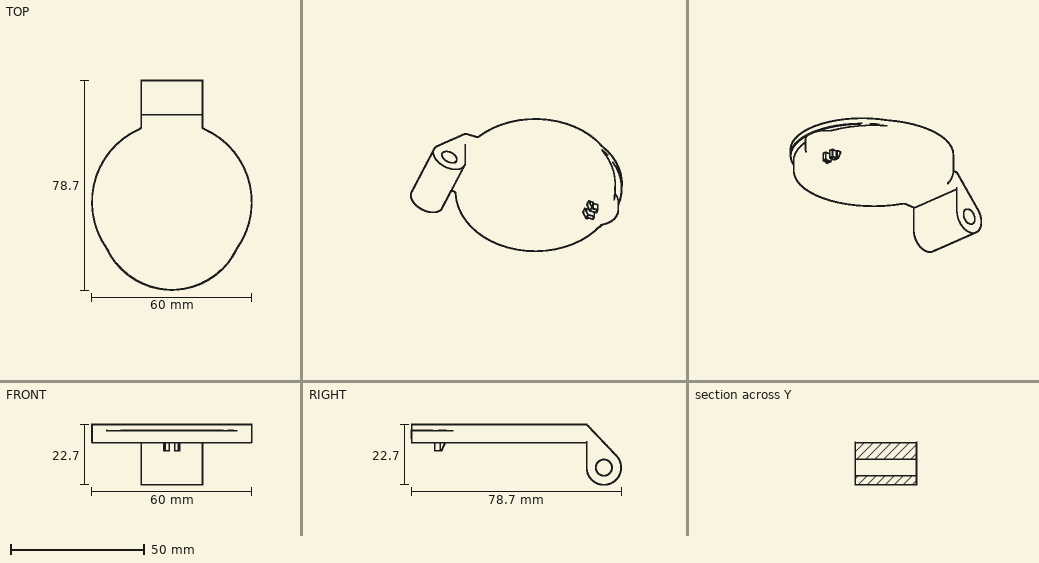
import cadquery as cq
import math


lid_radius = 30.0
lid_thickness = 7.0
bottom_edge_radius = 0.5
inside_corner_radius = 0.75

lip_radius = 27.0
lip_front_y = -33.0
lip_thickness = 2.4
lip_edge_radius = 0.2
lip_centre_y = lip_front_y + lip_radius

bulge_radius = 7.5
bulge_height = lid_thickness - lip_thickness
bulge_centre_y = lip_front_y + bulge_radius

hinge_width = 23.0
barrel_radius = 6.5
pin_hole_diameter = 6.0
barrel_drop = 16.24
arm_end_y = 32.69
barrel_y = arm_end_y + barrel_radius
barrel_z = lid_thickness - barrel_drop

prong_inner_x = 1.0
prong_width = 1.5
prong_height = 3.0
prong_front_y = -24.3
prong_depth = 2.1
prong_edge_break = 0.1
wedge_width = 2.0
wedge_depth_at_tip = 0.5
wedge_depth_at_root = 1.8


def disc(radius, centre_y, bottom_z, height):
    return cq.Workplane("XY", origin=(0, centre_y, bottom_z)).circle(radius).extrude(height)


def make_lid():
    """Round plate with the bulge and hinge tab, rounded inside corners and a rounded bottom edge."""
    plate = disc(lid_radius, 0, 0, lid_thickness)
    tab = cq.Workplane("XY").box(
        hinge_width, arm_end_y, lid_thickness, centered=(True, False, False)
    )
    bulge = disc(bulge_radius, bulge_centre_y, 0, bulge_height)
    lid = plate.union(tab).union(bulge)

    tab_corner_y = math.sqrt(lid_radius**2 - (hinge_width / 2) ** 2)
    bulge_corner_y = (lid_radius**2 - bulge_radius**2 + bulge_centre_y**2) / (2 * bulge_centre_y)
    bulge_corner_x = math.sqrt(lid_radius**2 - bulge_corner_y**2)
    mid_z = bulge_height / 2
    for corner in [(hinge_width / 2, tab_corner_y), (bulge_corner_x, bulge_corner_y)]:
        for side in (-1, 1):
            corner_edge = cq.selectors.NearestToPointSelector((side * corner[0], corner[1], mid_z))
            lid = lid.edges("|Z").edges(corner_edge).fillet(inside_corner_radius)

    bottom_rim = lid.faces("<Z").edges("not(>Y)")
    return bottom_rim.fillet(bottom_edge_radius)


def make_lip():
    """Offset disc along the lid top, its rim standing out past the front of the lid."""
    lip = disc(lip_radius, lip_centre_y, lid_thickness - lip_thickness, lip_thickness)
    return lip.faces("<Z").edges().fillet(lip_edge_radius)


def make_hinge():
    """Arm sloping from the lid top down to the barrel, bored for the hinge pin."""
    half_angle = math.atan2(barrel_drop, barrel_radius)
    slope_angle = math.pi - 2 * half_angle
    slope_end = (
        barrel_y + barrel_radius * math.cos(slope_angle),
        barrel_z + barrel_radius * math.sin(slope_angle),
    )
    return (
        cq.Workplane("YZ")
        .moveTo(arm_end_y, lid_thickness)
        .lineTo(*slope_end)
        .threePointArc((barrel_y, barrel_z - barrel_radius), (arm_end_y, barrel_z))
        .close()
        .moveTo(barrel_y, barrel_z)
        .circle(pin_hole_diameter / 2)
        .extrude(hinge_width / 2, both=True)
    )


def make_prong():
    """Right-hand prong: a post with a wider, tapering wedge behind it."""
    back_y = prong_front_y + prong_depth
    post = (
        cq.Workplane("XY")
        .box(prong_width, prong_depth, prong_height, centered=False)
        .translate((prong_inner_x, prong_front_y, -prong_height))
    )
    exposed_edges = post.edges("(<Y and >X) or (<Y and <Z) or (>X and <Z)")
    post = exposed_edges.chamfer(prong_edge_break)

    wedge = (
        cq.Workplane("YZ", origin=(prong_inner_x, 0, 0))
        .polyline([
            (back_y, 0),
            (back_y, -prong_height),
            (back_y + wedge_depth_at_tip, -prong_height),
            (back_y + wedge_depth_at_root, 0),
        ])
        .close()
        .extrude(wedge_width)
    )
    return post.union(wedge)


prong = make_prong()
result = (
    make_lid()
    .union(make_lip())
    .union(make_hinge())
    .union(prong)
    .union(prong.mirror("YZ"))
)